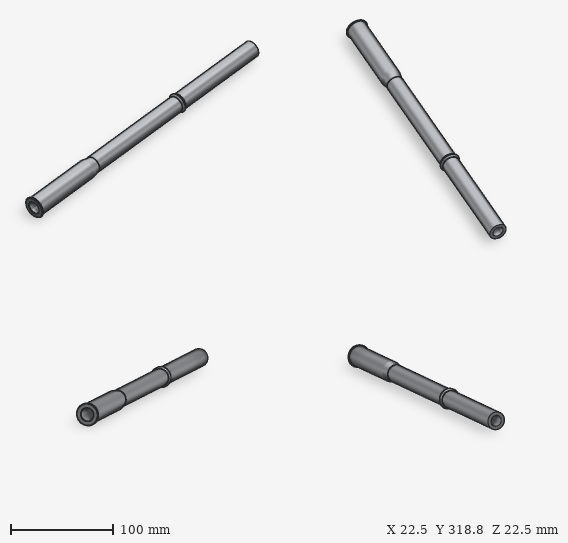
import cadquery as cq

TOTAL_LENGTH = 318.8
FLANGE_THICKNESS = 1.5
SLEEVE_LENGTH = 77.0
CONE_START = 79.0
CONE_END = 86.7
RING_POSITION = 210.0

FLANGE_DIAMETER = 22.5
SLEEVE_DIAMETER = 20.5
CONE_START_DIAMETER = 19.8
CONE_END_DIAMETER = 16.5
BARREL_DIAMETER = 18.0

FLANGE_CHAMFER_RADIAL = 0.8
FLANGE_CHAMFER_AXIAL = 0.5

MOUTH_DIAMETER = 14.0
CHAMBER_DIAMETER = 12.8
BORE_DIAMETER = 10.8
MOUTH_DEPTH = 0.5
CHAMBER_DEPTH = 4.8
BORE_START = 22.3

RING_DIAMETER = 20.7
RING_WIDTH = 4.8
CREST_WIDTH = 1.0
GROOVE_DIAMETER = CONE_END_DIAMETER
SHOULDER_BULGE = 0.15


def revolve_about_axis(profile):
    """Turn a closed half profile (X = radius, Y = length) about the barrel axis."""
    return profile.close().revolve(360, (0, 0, 0), (0, 1, 0))


def make_outer_shape():
    """Flange, sleeve, cone and barrel as a solid turned bar."""
    profile = (
        cq.Workplane("XY")
        .lineTo(FLANGE_DIAMETER / 2 - FLANGE_CHAMFER_RADIAL, 0)
        .lineTo(FLANGE_DIAMETER / 2, FLANGE_CHAMFER_AXIAL)
        .lineTo(FLANGE_DIAMETER / 2, FLANGE_THICKNESS)
        .lineTo(SLEEVE_DIAMETER / 2, FLANGE_THICKNESS)
        .lineTo(SLEEVE_DIAMETER / 2, SLEEVE_LENGTH)
        .lineTo(CONE_START_DIAMETER / 2, CONE_START)
        .lineTo(CONE_END_DIAMETER / 2, CONE_END)
        .lineTo(BARREL_DIAMETER / 2, CONE_END)
        .lineTo(BARREL_DIAMETER / 2, TOTAL_LENGTH)
        .lineTo(0, TOTAL_LENGTH)
    )
    return revolve_about_axis(profile)


def make_bore_cut():
    """Chamfered mouth, short chamber, taper and through bore."""
    profile = (
        cq.Workplane("XY")
        .lineTo(MOUTH_DIAMETER / 2, 0)
        .lineTo(CHAMBER_DIAMETER / 2, MOUTH_DEPTH)
        .lineTo(CHAMBER_DIAMETER / 2, CHAMBER_DEPTH)
        .lineTo(BORE_DIAMETER / 2, BORE_START)
        .lineTo(BORE_DIAMETER / 2, TOTAL_LENGTH)
        .lineTo(0, TOTAL_LENGTH)
    )
    return revolve_about_axis(profile)


def make_ring():
    """Sealing ring: flat inside, rounded shoulders and a narrow flat crest."""
    inner_radius = GROOVE_DIAMETER / 2
    barrel_radius = BARREL_DIAMETER / 2
    crest_radius = RING_DIAMETER / 2
    half_width = RING_WIDTH / 2
    half_crest = CREST_WIDTH / 2
    shoulder_radius = (barrel_radius + crest_radius) / 2 + SHOULDER_BULGE
    shoulder_offset = (half_width + half_crest) / 2 + SHOULDER_BULGE
    profile = (
        cq.Workplane("XY")
        .moveTo(inner_radius, RING_POSITION - half_width)
        .lineTo(barrel_radius, RING_POSITION - half_width)
        .threePointArc(
            (shoulder_radius, RING_POSITION - shoulder_offset),
            (crest_radius, RING_POSITION - half_crest),
        )
        .lineTo(crest_radius, RING_POSITION + half_crest)
        .threePointArc(
            (shoulder_radius, RING_POSITION + shoulder_offset),
            (barrel_radius, RING_POSITION + half_width),
        )
        .lineTo(inner_radius, RING_POSITION + half_width)
    )
    return revolve_about_axis(profile)


def make_barrel(ring):
    """Bored barrel with the groove that the ring fills."""
    return make_outer_shape().cut(make_bore_cut()).cut(ring)


sealing_ring = make_ring()
barrel = make_barrel(sealing_ring)

result = cq.Compound.makeCompound([barrel.val(), sealing_ring.val()])